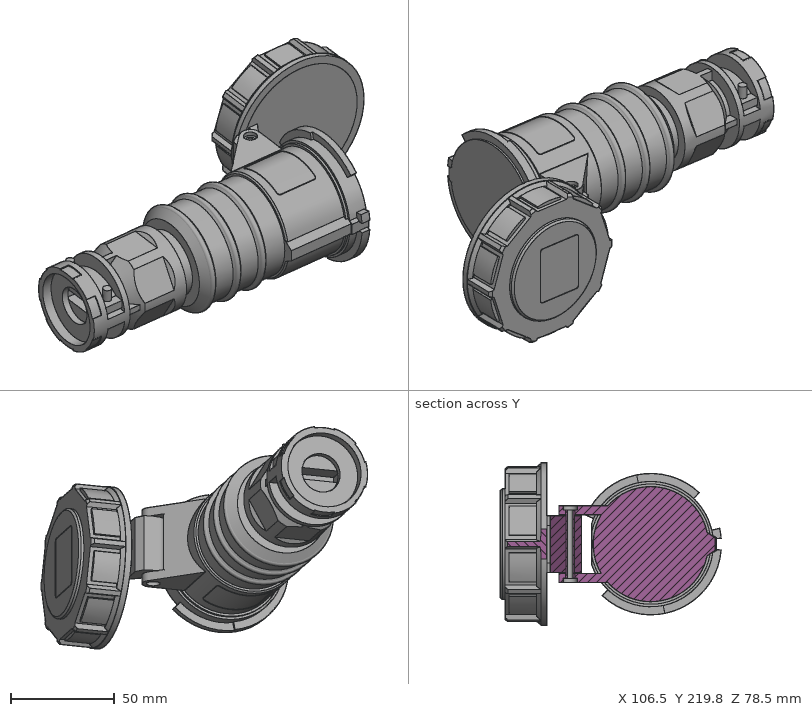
import cadquery as cq
import math


mouth_y = -0.6
barrel_radius = 27.8
barrel_end = -47.3
barrel_chamfer = 0.8
collar_radius = 30.2
collar_end = -10.9
seat_radius = 29.0
seat_end = -12.2
collar_flat_x = -28.5
grip_radius = 25.9
bead_radius = 27.9
bead_half_width = 1.5
bead_shoulder_radius = 26.9
bead_foot_half_width = 2.4
bead_pitch = 15.25
first_bead_y = -61.1
bead_count = 3
cone_small_radius = 22.7
cone_end = -96.8
neck_radius = 17.2
neck_end = -104.1

flange_radius = 34.1
flange_inner_radius = collar_radius - 1.0
flange_front = -1.7
flange_thin = 3.5
flange_thick = 4.8
flange_mouth_angle = 46.7
flange_step_angle = 101.5
flange_upper_end_angle = 156.0
key_gap_half_width = 2.8
key_gap_angle = math.degrees(math.asin(key_gap_half_width / flange_radius))
tab_end_angle = 13.0

ridge_root_x = 26.0
ridge_root_half_width = 6.5
ridge_top_half_width = 3.0
collar_ridge_x = 31.8
barrel_ridge_x = 31.1

label_depth = 0.3
label_corner = 1.5
barrel_label_width = 28.2
barrel_label_front = -18.8
barrel_label_back = -42.0

hinge_x = -38.8
hinge_y = -18.25
knuckle_radius = 5.5
lug_half_height = 18.5
lug_root_x = -21.0
slot_half_height = 14.1
slot_floor_y = -27.8
pin_radius = 2.1
pin_bore_radius = 1.2
pin_head_radius = 3.3
pin_head_depth = 2.0

lid_y = 20.35
lid_face_x = -72.53
ring_face_x = -70.2
ring_flange_x = -53.0
lid_back_x = -50.0
lid_radius = 39.25
hub_radius = 26.8
hub_chamfer = 1.0
cap_plate_radius = 35.0
cap_plate_thickness = 8.0
ring_apothem = 35.4
grip_count = 10
rib_radius = 38.9
rib_root_radius = 34.0
rib_top_half_width = 1.2
rib_root_half_width = 3.4
rib_chamfer = 1.3
pad_radius = 37.3
pad_angle = 22.8
pad_outer_x = -68.2
pad_inner_x = -55.0
lid_label_y = 17.5
lid_label_length = 24.0
lid_label_height = 30.0

arm_x = -48.5
arm_root_top_y = -5.3
arm_root_bottom_y = -10.7
arm_bottom_y = -19.2
arm_half_height = 13.7
arm_toe = (-45.3, -23.5)
arm_heel = (-41.3, -24.1)
arm_foot_half_height = 9.0
arm_foot_bottom_y = -14.2

gland_radius = 22.0
hex_apothem = 20.2
hex_start = -109.8
hex_bevel = gland_radius - hex_apothem
waist_radius = 15.2
taper_end = -136.1
taper_start = taper_end + (gland_radius - waist_radius)
clamp_start = -138.5
window_start = -141.6
window_end = -151.8
overall_length = 219.85
gland_end = lid_y + lid_radius - overall_length
fin_width = 3.2
fin_start = -130.5
jaw_radius = 15.0
cable_gap_half_height = 2.9
cable_gap_half_width = 11.0
entry_radius = 9.7
recess_radius = 18.6
recess_depth = 5.0
side_count = 6
notch_width = 10.0
notch_length = 5.2
notch_depth = 0.6
post_x = 14.6
post_radius = 2.15
post_top = 15.1

ear_half_width = 19.8
arch_half_width = 14.9
arch_radius = 22.3
arch_top = 14.3
ear_bottom = 4.3
ear_top = 8.6


def revolve_about_connector(points):
    return cq.Workplane("XY").polyline(points).close().revolve(360, (0, 0), (0, 1))


def cylinder_along_y(radius, y_front, y_back):
    length = y_front - y_back
    return cq.Workplane("XZ", origin=(0, y_front, 0)).circle(radius).extrude(length)


def cylinder_along_z(radius, x, y, half_height):
    upright = cq.Workplane("XY", origin=(x, y, -half_height))
    return upright.circle(radius).extrude(2 * half_height)


def cylinder_along_lid(radius, x_start, x_end):
    return cq.Workplane("YZ", origin=(x_start, lid_y, 0)).circle(radius).extrude(x_end - x_start)


def box_between(x_range, y_range, z_range):
    size = [high - low for low, high in (x_range, y_range, z_range)]
    corner = (x_range[0], y_range[0], z_range[0])
    return cq.Workplane("XY", origin=corner).box(*size, centered=False)


def make_housing_shell():
    body = (
        cq.Workplane("XY")
        .moveTo(0, mouth_y)
        .lineTo(collar_radius, mouth_y)
        .lineTo(collar_radius, collar_end)
        .lineTo(seat_radius, collar_end)
        .lineTo(seat_radius, seat_end)
        .lineTo(barrel_radius, seat_end)
        .lineTo(barrel_radius, barrel_end + barrel_chamfer)
        .lineTo(barrel_radius - barrel_chamfer, barrel_end)
        .lineTo(grip_radius, barrel_end)
    )
    for index in range(bead_count):
        bead_y = first_bead_y - index * bead_pitch
        shoulder_end = (bead_shoulder_radius, bead_y - bead_half_width)
        body = body.lineTo(grip_radius, bead_y + bead_foot_half_width)
        body = body.lineTo(bead_shoulder_radius, bead_y + bead_half_width)
        body = body.threePointArc((bead_radius, bead_y), shoulder_end)
        if index < bead_count - 1:
            body = body.lineTo(grip_radius, bead_y - bead_foot_half_width)
    return (
        body.lineTo(cone_small_radius, cone_end)
        .lineTo(neck_radius, cone_end)
        .lineTo(neck_radius, neck_end)
        .lineTo(0, neck_end)
        .close()
        .revolve(360, (0, 0), (0, 1))
    )


def make_flange_sector(start_angle, end_angle, thickness):
    """Flange piece between two angles, counted from +X towards +Z."""
    section = cq.Workplane("XY").moveTo(flange_inner_radius, flange_front - thickness)
    section = section.lineTo(flange_radius, flange_front - thickness)
    section = section.lineTo(flange_radius, flange_front).lineTo(flange_inner_radius, flange_front).close()
    sector = section.revolve(end_angle - start_angle, (0, 0), (0, -1))
    return sector.rotate((0, 0, 0), (0, -1, 0), start_angle)


def make_flange():
    upper_lead = make_flange_sector(flange_mouth_angle, flange_step_angle, flange_thin)
    upper_lock = make_flange_sector(flange_step_angle, flange_upper_end_angle, flange_thick)
    lower_lead = make_flange_sector(180 + flange_mouth_angle, 180 + flange_step_angle, flange_thin)
    lower_lock = make_flange_sector(180 + flange_step_angle, 360 - key_gap_angle, flange_thick)
    tab = make_flange_sector(key_gap_angle, tab_end_angle, flange_thick)
    return upper_lead.union(upper_lock).union(lower_lead).union(lower_lock).union(tab)


def make_ridge(top_x, y_front, y_back):
    outline = [
        (ridge_root_x, -ridge_root_half_width),
        (top_x, -ridge_top_half_width),
        (top_x, ridge_top_half_width),
        (ridge_root_x, ridge_root_half_width),
    ]
    return cq.Workplane("XZ", origin=(0, y_front, 0)).polyline(outline).close().extrude(y_front - y_back)


def make_hinge_lug():
    top_y = hinge_y + knuckle_radius
    tangent = knuckle_radius * math.sqrt(0.5)
    foot_y = hinge_y - tangent - (lug_root_x - hinge_x + tangent)
    lug = (
        cq.Workplane("XY", origin=(0, 0, -lug_half_height))
        .moveTo(hinge_x, top_y)
        .threePointArc((hinge_x - knuckle_radius, hinge_y), (hinge_x - tangent, hinge_y - tangent))
        .lineTo(lug_root_x, foot_y)
        .lineTo(lug_root_x, top_y)
        .close()
        .extrude(2 * lug_half_height)
    )
    slot = box_between(
        (hinge_x - 2 * knuckle_radius, lug_root_x),
        (slot_floor_y, mouth_y),
        (-slot_half_height, slot_half_height),
    )
    head_space = cylinder_along_z(pin_head_radius, hinge_x, hinge_y, lug_half_height)
    cheek_core = cylinder_along_z(pin_head_radius, hinge_x, hinge_y, lug_half_height - pin_head_depth)
    hole = cylinder_along_z(pin_radius, hinge_x, hinge_y, lug_half_height)
    return lug.cut(slot).cut(head_space.cut(cheek_core)).cut(hole)


def make_barrel_labels():
    """Shallow label areas on the top and bottom that follow the barrel curve."""
    centre_y = (barrel_label_front + barrel_label_back) / 2
    length = barrel_label_front - barrel_label_back
    window = cq.Workplane("XY", origin=(0, centre_y, -barrel_radius))
    window = window.rect(barrel_label_width, length).extrude(2 * barrel_radius)
    window = window.edges("|Z").fillet(label_corner)
    core = cylinder_along_y(barrel_radius - label_depth, mouth_y, barrel_end)
    return window.cut(core)


def make_housing():
    shell = make_housing_shell()
    beyond_flat = box_between(
        (-2 * collar_radius, collar_flat_x),
        (seat_end, mouth_y),
        (-collar_radius, collar_radius),
    )
    shell = shell.cut(beyond_flat).cut(make_barrel_labels())
    shell = shell.union(make_flange())
    shell = shell.union(make_ridge(collar_ridge_x, mouth_y, collar_end))
    shell = shell.union(make_ridge(barrel_ridge_x, collar_end, barrel_end))
    return shell.union(make_hinge_lug())


def make_hinge_pin():
    half_length = lug_half_height - pin_head_depth
    pin = cylinder_along_z(pin_radius, hinge_x, hinge_y, half_length)
    return pin.cut(cylinder_along_z(pin_bore_radius, hinge_x, hinge_y, half_length))


def make_cap_disc():
    """Hub that shows through the ring, backed by a wider plate inside it."""
    hub = cylinder_along_lid(hub_radius, lid_face_x, lid_back_x)
    hub = hub.faces("<X").edges().chamfer(hub_chamfer)
    plate = cylinder_along_lid(cap_plate_radius, lid_back_x - cap_plate_thickness, lid_back_x)
    return hub.union(plate)


def make_cap_arm():
    foot = box_between(
        (lid_back_x, arm_x),
        (arm_foot_bottom_y, arm_root_bottom_y),
        (-arm_foot_half_height, arm_foot_half_height),
    )
    outline = [
        (lid_back_x, arm_root_top_y),
        (hinge_x, hinge_y + knuckle_radius),
        (hinge_x, hinge_y - knuckle_radius),
        arm_heel,
        arm_toe,
        (arm_x, arm_bottom_y),
        (arm_x, arm_root_bottom_y),
        (lid_back_x, arm_root_bottom_y),
    ]
    blade = cq.Workplane("XY", origin=(0, 0, -arm_half_height)).polyline(outline).close()
    blade = blade.extrude(2 * arm_half_height)
    knuckle = cylinder_along_z(knuckle_radius, hinge_x, hinge_y, arm_half_height)
    hole = cylinder_along_z(pin_radius, hinge_x, hinge_y, arm_half_height)
    return foot.union(blade).union(knuckle).cut(hole)


def make_lid_cap():
    label = cq.Workplane("YZ", origin=(lid_face_x, lid_label_y, 0))
    label = label.rect(lid_label_length, lid_label_height).extrude(label_depth)
    label = label.edges("|X").fillet(label_corner)
    return make_cap_disc().cut(label).union(make_cap_arm())


def turn_about_lid(shape, angle):
    return shape.rotate((0, lid_y, 0), (1, lid_y, 0), angle)


def make_grip_rib():
    """Rib on the +Y side of the ring."""
    outline = [
        (rib_root_radius, -rib_root_half_width),
        (rib_radius, -rib_top_half_width),
        (rib_radius, rib_top_half_width),
        (rib_root_radius, rib_root_half_width),
    ]
    rib = cq.Workplane("YZ", origin=(ring_face_x, lid_y, 0)).polyline(outline).close()
    rib = rib.extrude(ring_flange_x - ring_face_x)
    return rib.faces(">Y").edges("<X").chamfer(rib_chamfer)


def make_grip_pad():
    """Curved finger pad centred on the +Y side of the ring."""
    section = cq.Workplane("XY").moveTo(pad_outer_x, lid_y + rib_root_radius)
    section = section.lineTo(pad_inner_x, lid_y + rib_root_radius).lineTo(pad_inner_x, lid_y + pad_radius)
    section = section.lineTo(pad_outer_x, lid_y + pad_radius).close()
    pad = section.revolve(pad_angle, (0, lid_y), (1, lid_y))
    return turn_about_lid(pad, -pad_angle / 2)


def make_grip_ring():
    corner_radius = ring_apothem / math.cos(math.pi / grip_count)
    prism = cq.Workplane("YZ", origin=(ring_face_x, lid_y, 0)).polygon(grip_count, 2 * corner_radius)
    ring = prism.extrude(ring_flange_x - ring_face_x)
    flange_root = cq.Workplane("YZ", origin=(pad_inner_x, lid_y, 0)).circle(pad_radius)
    flange_root = flange_root.workplane(offset=ring_flange_x - pad_inner_x).circle(rib_radius).loft()
    ring = ring.union(flange_root).union(cylinder_along_lid(lid_radius, ring_flange_x, lid_back_x))
    step = 360 / grip_count
    for index in range(grip_count):
        ring = ring.union(turn_about_lid(make_grip_rib(), index * step))
        ring = ring.union(turn_about_lid(make_grip_pad(), (index + 0.5) * step))
    ring = ring.cut(cylinder_along_lid(hub_radius, ring_face_x, lid_back_x))
    return ring.cut(cylinder_along_lid(cap_plate_radius, lid_back_x - cap_plate_thickness, lid_back_x))


def make_gland_body():
    return revolve_about_connector([
        (0, neck_end),
        (gland_radius, neck_end),
        (gland_radius, taper_start),
        (waist_radius, taper_end),
        (waist_radius, clamp_start),
        (gland_radius, clamp_start),
        (gland_radius, gland_end),
        (0, gland_end),
    ])


def make_hex_flat_cut():
    """Removes the gland above one hexagon flat, with a sloped front end."""
    outline = [
        (hex_start, gland_radius),
        (hex_start - hex_bevel, hex_apothem),
        (taper_end, hex_apothem),
        (taper_end, gland_radius),
    ]
    flat = cq.Workplane("YZ", origin=(-gland_radius, 0, 0)).polyline(outline).close()
    return flat.extrude(2 * gland_radius)


def make_fin_cross():
    """Four stiffening fins between the taper and the clamp."""
    span = 2 * hex_apothem
    length = fin_start - clamp_start
    plane = cq.Workplane("XZ", origin=(0, fin_start, 0))
    return plane.rect(span, fin_width).extrude(length).union(plane.rect(fin_width, span).extrude(length))


def make_clamp_window():
    """Space of the saddle and of the cable gap, leaving side struts and the lower jaw."""
    length = window_start - window_end
    plane = cq.Workplane("XZ", origin=(0, window_start, 0))
    space = cylinder_along_y(gland_radius, window_start, window_end)
    struts = plane.rect(2 * gland_radius, 2 * cable_gap_half_height).extrude(length)
    lower_half = box_between(
        (-jaw_radius, jaw_radius),
        (window_end, window_start),
        (-jaw_radius, 0),
    )
    jaw = cylinder_along_y(jaw_radius, window_start, window_end).intersect(lower_half)
    cable_gap = plane.rect(2 * cable_gap_half_width, 2 * cable_gap_half_height).extrude(length)
    return space.cut(struts).cut(jaw).union(cable_gap)


def make_end_notches():
    ring = cylinder_along_y(gland_radius, gland_end + notch_length, gland_end)
    ring = ring.cut(cylinder_along_y(gland_radius - notch_depth, gland_end + notch_length, gland_end))
    block = box_between(
        (-notch_width / 2, notch_width / 2),
        (gland_end, gland_end + notch_length),
        (0, gland_radius),
    )
    blocks = cq.Workplane("XY")
    for index in range(side_count):
        blocks = blocks.add(block.rotate((0, 0, 0), (0, 1, 0), index * 360 / side_count))
    return ring.intersect(blocks.combine())


def make_posts():
    centre_y = (window_start + window_end) / 2
    plane = cq.Workplane("XY", origin=(0, centre_y, 0))
    return plane.pushPoints([(-post_x, 0), (post_x, 0)]).circle(post_radius).extrude(post_top)


def make_gland():
    gland = make_gland_body()
    for index in range(side_count):
        gland = gland.cut(make_hex_flat_cut().rotate((0, 0, 0), (0, 1, 0), index * 360 / side_count))
    gland = gland.union(make_fin_cross())
    gland = gland.cut(make_clamp_window())
    gland = gland.cut(cylinder_along_y(recess_radius, gland_end + recess_depth, gland_end))
    gland = gland.cut(cylinder_along_y(entry_radius, window_end, gland_end))
    gland = gland.cut(make_end_notches())
    return gland.union(make_posts())


def make_saddle():
    block = box_between(
        (-arch_half_width, arch_half_width),
        (window_end, window_start),
        (ear_bottom, arch_top),
    )
    arch = cylinder_along_y(arch_radius, window_start, window_end)
    saddle = block.intersect(arch.translate((0, 0, arch_top - arch_radius)))
    ears = box_between(
        (-ear_half_width, ear_half_width),
        (window_end, window_start),
        (ear_bottom, ear_top),
    )
    tongue = box_between(
        (-cable_gap_half_width, cable_gap_half_width),
        (window_end, window_start),
        (cable_gap_half_height, ear_bottom),
    )
    return saddle.union(ears).union(tongue).cut(make_posts())


housing = make_housing()
hinge_pin = make_hinge_pin()
lid_cap = make_lid_cap()
grip_ring = make_grip_ring()
gland = make_gland()
saddle = make_saddle()

result = cq.Compound.makeCompound([
    housing.solids().val(),
    hinge_pin.solids().val(),
    lid_cap.solids().val(),
    grip_ring.solids().val(),
    gland.solids().val(),
    saddle.solids().val(),
])